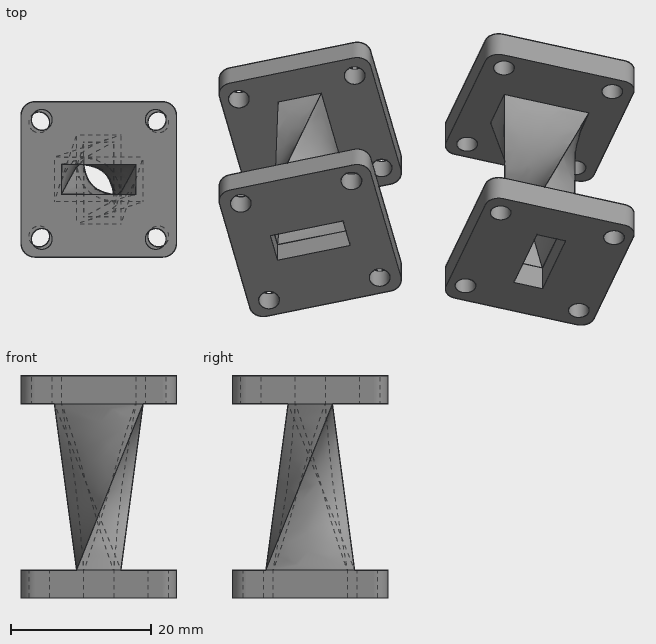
import cadquery as cq

flange_side = 22.23
flange_thickness = 4.0
flange_corner_radius = 2.0
overall_height = 31.75

hole_diameter = 2.95
hole_pitch_along_guide = 16.26
hole_pitch_across_guide = 17.02

bore_length = 10.668
bore_width = 4.318
wall = 1.016
tube_length = bore_length + 2 * wall
tube_width = bore_width + 2 * wall

lower_face_z = flange_thickness
upper_face_z = overall_height - flange_thickness


def flange(base_z, quarter_turn):
    """Square flange with four screw holes; the pattern may be turned by 90 degrees."""
    pitch_x, pitch_y = hole_pitch_along_guide, hole_pitch_across_guide
    if quarter_turn:
        pitch_x, pitch_y = pitch_y, pitch_x
    return (
        cq.Workplane("XY", origin=(0, 0, base_z))
        .rect(flange_side, flange_side)
        .extrude(flange_thickness)
        .edges("|Z")
        .fillet(flange_corner_radius)
        .faces(">Z")
        .workplane(origin=(0, 0, 0))
        .rect(pitch_x, pitch_y, forConstruction=True)
        .vertices()
        .hole(hole_diameter)
    )


def twisted_bar(length, width):
    """Bar between the flanges: long side on Y below, turned 90 degrees to X above.

    Each lower corner is joined by a straight edge to the upper corner a quarter turn
    counterclockwise from it.
    """
    half_x, half_y = width / 2, length / 2
    corners = [(-half_x, -half_y), (half_x, -half_y), (half_x, half_y), (-half_x, half_y)]
    lower = [cq.Vector(x, y, lower_face_z) for x, y in corners]
    upper = [cq.Vector(-y, x, upper_face_z) for x, y in corners]

    faces = []
    for ring in (lower, upper):
        faces.append(cq.Face.makeFromWires(cq.Wire.makePolygon(ring, close=True)))
    for i in range(len(corners)):
        following = (i + 1) % len(corners)
        lower_edge = cq.Edge.makeLine(lower[i], lower[following])
        upper_edge = cq.Edge.makeLine(upper[i], upper[following])
        faces.append(cq.Face.makeRuledSurface(lower_edge, upper_edge))
    return cq.Workplane(cq.Solid.makeSolid(cq.Shell.makeShell(faces)).fix())


def straight_bore(base_z, size_x, size_y):
    """Rectangular bore through one flange."""
    return (
        cq.Workplane("XY", origin=(0, 0, base_z))
        .rect(size_x, size_y)
        .extrude(flange_thickness)
    )


tube = twisted_bar(tube_length, tube_width).faces("<Z or >Z").shell(-wall)

lower_flange = flange(0, quarter_turn=True).cut(straight_bore(0, bore_width, bore_length))
upper_flange = flange(upper_face_z, quarter_turn=False).cut(
    straight_bore(upper_face_z, bore_length, bore_width)
)

result = lower_flange.union(tube).union(upper_flange)